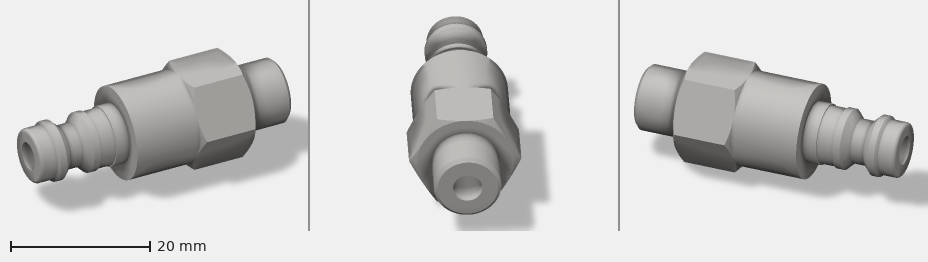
import cadquery as cq
import math

total_length = 40.0
bore_diameter = 4.25

across_flats = 14.0
body_radius = across_flats / 2
corner_radius = across_flats / math.sqrt(3)
hex_chamfer_angle = 30.0
body_start = 14.0
hex_start = 24.0
hex_length = 9.0
hex_end = hex_start + hex_length

stud_radius = 9.7 / 2
stud_chamfer = 0.5

tip_radius = 8.15 / 2
tip_fillet = 0.5
collar_radius = 9.0 / 2
neck_radius = 6.6 / 2
barrel_radius = 8.55 / 2
front_collar_start = 3.0
front_collar_end = 4.0
rear_collar_start = 8.3
rear_collar_end = 9.4
shoulder_start = 11.9

tip_end = front_collar_start - (collar_radius - tip_radius)
neck_start = front_collar_end + (collar_radius - neck_radius)
neck_end = rear_collar_start - (collar_radius - neck_radius)


def make_plug():
    """Revolve the stepped plug, with a rounded tip, up to the body face."""
    arc_offset = tip_fillet * math.sqrt(0.5)
    arc_middle = (tip_radius - tip_fillet + arc_offset, tip_fillet - arc_offset)
    profile = (
        cq.Workplane("XY")
        .lineTo(tip_radius - tip_fillet, 0)
        .threePointArc(arc_middle, (tip_radius, tip_fillet))
        .lineTo(tip_radius, tip_end)
        .lineTo(collar_radius, front_collar_start)
        .lineTo(collar_radius, front_collar_end)
        .lineTo(neck_radius, neck_start)
        .lineTo(neck_radius, neck_end)
        .lineTo(collar_radius, rear_collar_start)
        .lineTo(collar_radius, rear_collar_end)
        .lineTo(barrel_radius, rear_collar_end)
        .lineTo(barrel_radius, shoulder_start)
        .lineTo(collar_radius, shoulder_start)
        .lineTo(collar_radius, body_start)
        .lineTo(0, body_start)
        .close()
    )
    return profile.revolve(360, (0, 0, 0), (0, 1, 0))


def cylinder_along_y(radius, start, end):
    plane = cq.Plane(origin=(0, start, 0), xDir=(1, 0, 0), normal=(0, 1, 0))
    return cq.Workplane(plane).circle(radius).extrude(end - start)


def make_hexagon():
    """Hexagon with corners on the X axis, trimmed by a cone at each end."""
    plane = cq.Plane(origin=(0, hex_start, 0), xDir=(1, 0, 0), normal=(0, 1, 0))
    prism = cq.Workplane(plane).polygon(6, 2 * corner_radius).extrude(hex_length)
    chamfer_length = (corner_radius - body_radius) * math.tan(math.radians(hex_chamfer_angle))
    envelope = (
        cq.Workplane("XY")
        .moveTo(0, hex_start)
        .lineTo(body_radius, hex_start)
        .lineTo(corner_radius, hex_start + chamfer_length)
        .lineTo(corner_radius, hex_end - chamfer_length)
        .lineTo(body_radius, hex_end)
        .lineTo(0, hex_end)
        .close()
        .revolve(360, (0, 0, 0), (0, 1, 0))
    )
    return prism.intersect(envelope)


body = cylinder_along_y(body_radius, body_start, hex_start)
stud = cylinder_along_y(stud_radius, hex_end, total_length).faces(">Y").chamfer(stud_chamfer)
bore = cylinder_along_y(bore_diameter / 2, 0, total_length)

fitting = make_plug().union(body).union(make_hexagon()).union(stud).cut(bore)
result = fitting.translate((0, -total_length / 2, 0))